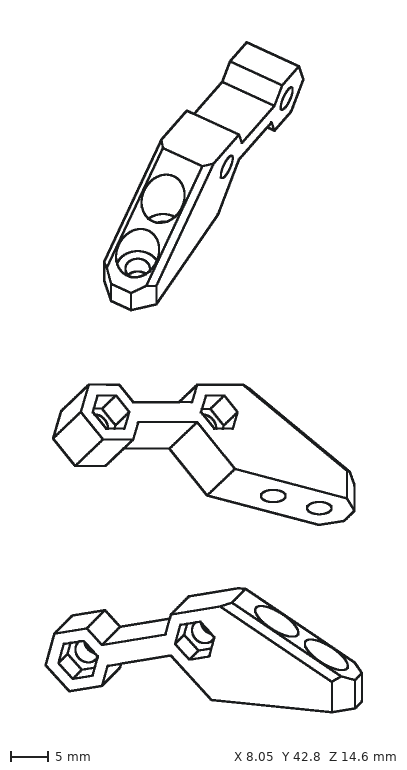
import cadquery as cq
import math

width = 8.05
front_height = 4.0
ramp_angle = 30
ramp_chamfer = 1.0
corner_chamfer = 2.5

tilt = 15
hub_radius = 4.75
hub_spacing = 17.0
front_hub_y = 21.78
front_hub_z = 8.15
arm_thickness = 3.0

cross_hole_diameter = 3.3
nut_radius = 2.85
nut_depth = width / 2

screw_hole_diameter = 3.3
counterbore_diameter = 5.78
counterbore_floor = 3.0
first_screw_y = 4.55
screw_spacing = 6.97
screw_count = 2


def polar(center, radius, angle):
    """Point in the YZ plane at an angle in degrees above +Y."""
    a = math.radians(angle)
    return (center[0] + radius * math.cos(a), center[1] + radius * math.sin(a))


def prism(points, x_start, length):
    """Extrude a YZ outline along +X."""
    return cq.Workplane("YZ", origin=(x_start, 0, 0)).polyline(points).close().extrude(length)


def hexagon(center, radius):
    """Hexagon with two corners on the centreline of the arm."""
    return [polar(center, radius, 60 * i - tilt) for i in range(6)]


front_hub = (front_hub_y, front_hub_z)
rear_hub = polar(front_hub, hub_spacing, -tilt)
hubs = [front_hub, rear_hub]
left_face_x = -width / 2


def make_body():
    hub_rear_corner = polar(front_hub, hub_radius, -tilt)
    hub_top_corner = polar(front_hub, hub_radius, 60 - tilt)
    underside_slope = math.tan(math.radians(60 - tilt))
    underside_y = hub_rear_corner[0] - hub_rear_corner[1] / underside_slope
    top_slope = math.tan(math.radians(tilt))
    ramp_slope = math.tan(math.radians(ramp_angle))
    top_at_front = hub_top_corner[1] + top_slope * hub_top_corner[0]
    apex_y = (top_at_front - front_height) / (ramp_slope + top_slope)
    apex_z = front_height + ramp_slope * apex_y
    outline = [
        (0, 0),
        (0, front_height),
        (apex_y, apex_z),
        hub_top_corner,
        hub_rear_corner,
        (underside_y, 0),
    ]
    body = prism(outline, left_face_x, width)
    ramp_middle = (apex_y / 2, (front_height + apex_z) / 2)
    for side in (-1, 1):
        ramp_edge = cq.selectors.NearestToPointSelector((side * width / 2, *ramp_middle))
        body = body.edges(ramp_edge).chamfer(ramp_chamfer)
    return body


def make_corner_cut(side):
    """Triangular wedge that bevels one vertical front corner."""
    edge_x = side * width / 2
    corner = [
        (edge_x, 0),
        (edge_x - side * corner_chamfer, 0),
        (edge_x, corner_chamfer),
    ]
    return cq.Workplane("XY").polyline(corner).close().extrude(2 * front_height)


def make_arm():
    half = arm_thickness / 2
    outline = [
        polar(front_hub, half, 90 - tilt),
        polar(rear_hub, half, 90 - tilt),
        polar(rear_hub, half, -90 - tilt),
        polar(front_hub, half, -90 - tilt),
    ]
    return prism(outline, left_face_x, width)


def make_cross_hole(center):
    hole = (
        cq.Workplane("YZ", origin=(left_face_x, 0, 0))
        .center(*center)
        .circle(cross_hole_diameter / 2)
        .extrude(width)
    )
    return hole.union(prism(hexagon(center, nut_radius), left_face_x, nut_depth))


def make_screw_hole(y):
    cut_height = front_hub_z + 2 * hub_radius
    hole = cq.Workplane("XY").center(0, y).circle(screw_hole_diameter / 2).extrude(cut_height)
    counterbore = (
        cq.Workplane("XY", origin=(0, y, counterbore_floor))
        .circle(counterbore_diameter / 2)
        .extrude(cut_height)
    )
    return hole.union(counterbore)


result = make_body().union(make_arm()).union(prism(hexagon(rear_hub, hub_radius), left_face_x, width))
for side in (-1, 1):
    result = result.cut(make_corner_cut(side))
for hub in hubs:
    result = result.cut(make_cross_hole(hub))
for i in range(screw_count):
    result = result.cut(make_screw_hole(first_screw_y + i * screw_spacing))